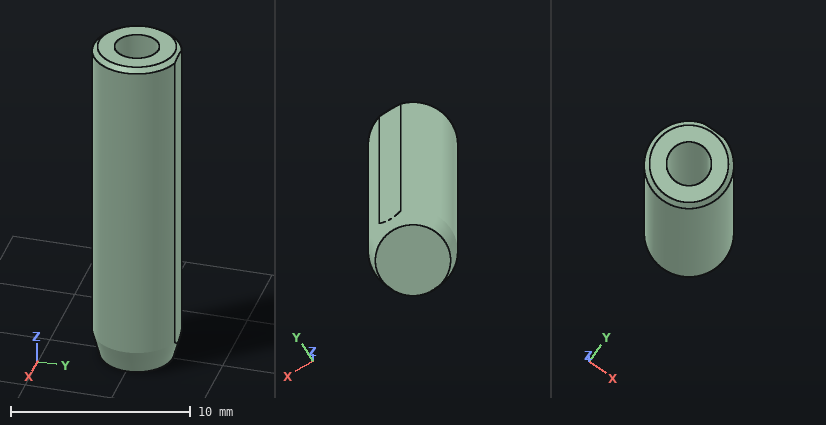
import cadquery as cq
import math

length = 20.0
radius = 2.5
flat_distance = 2.4

top_bevel_width = 0.3
top_bevel_height = 0.25

taper_height = 1.5
taper_angle = 15.0
tip_radius = radius - taper_height * math.tan(math.radians(taper_angle))

hole_diameter = 2.5
hole_radius = hole_diameter / 2
hole_depth = 12.0
drill_point_angle = 120.0
drill_point_depth = hole_radius / math.tan(math.radians(drill_point_angle / 2))


def pin_body():
    """Turned solid with the bottom taper and the top bevel."""
    profile = [
        (0, 0),
        (tip_radius, 0),
        (radius, taper_height),
        (radius, length - top_bevel_height),
        (radius - top_bevel_width, length),
        (0, length),
    ]
    return cq.Workplane("XZ").polyline(profile).close().revolve(360, (0, 0), (0, 1))


def blind_hole():
    """Cutter for the straight bore and its conical bottom."""
    bore_bottom = length - hole_depth
    profile = [
        (0, bore_bottom - drill_point_depth),
        (hole_radius, bore_bottom),
        (hole_radius, length),
        (0, length),
    ]
    return cq.Workplane("XZ").polyline(profile).close().revolve(360, (0, 0), (0, 1))


def side_flat():
    """Cutter that removes everything beyond the flat, over the full length."""
    return (
        cq.Workplane("XY")
        .box(2 * radius, radius, length, centered=(True, False, False))
        .translate((0, flat_distance, 0))
    )


result = pin_body().cut(blind_hole()).cut(side_flat())